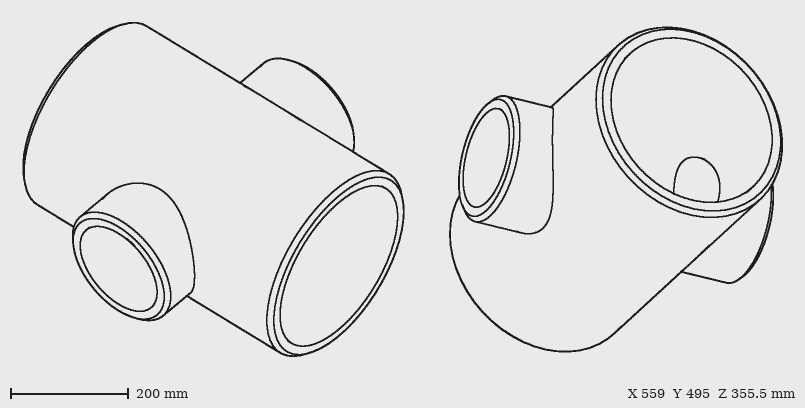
import cadquery as cq

run_length = 559.0
run_outer_diameter = 355.5
run_bore_diameter = 307.5

branch_span = 495.0
branch_outer_diameter = 219.0
branch_bore_diameter = 171.5

bevel_depth = 8.0
run_bevel_length = 9.0
branch_bevel_length = 8.0


def beveled_bar(length, diameter, bevel_length):
    """Solid bar centred on the origin, beveled at both ends, along Y."""
    radius = diameter / 2
    end_radius = radius - bevel_depth
    half_length = length / 2
    shoulder = half_length - bevel_length
    profile = [
        (0, -half_length),
        (end_radius, -half_length),
        (radius, -shoulder),
        (radius, shoulder),
        (end_radius, half_length),
        (0, half_length),
    ]
    return cq.Workplane("XY").polyline(profile).close().revolve(360, (0, 0), (0, 1))


def bore(plane, length, diameter):
    """Cylinder centred on the origin that cuts through the full length."""
    return cq.Workplane(plane).circle(diameter / 2).extrude(length / 2, both=True)


run = beveled_bar(run_length, run_outer_diameter, run_bevel_length)
run = run.rotate((0, 0, 0), (0, 0, 1), 90)
branches = beveled_bar(branch_span, branch_outer_diameter, branch_bevel_length)

result = (
    run.union(branches)
    .cut(bore("YZ", run_length, run_bore_diameter))
    .cut(bore("XZ", branch_span, branch_bore_diameter))
)